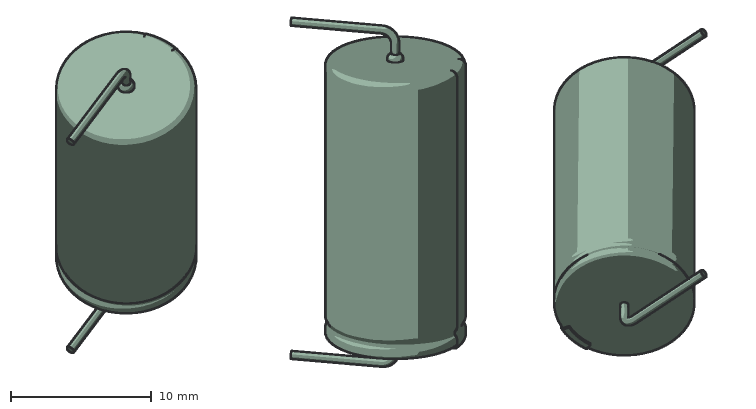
import cadquery as cq
import math

can_diameter = 10.0
can_radius = can_diameter / 2
can_height = 21.0
top_flat_diameter = 9.0
top_round = can_radius - top_flat_diameter / 2
bottom_round = 0.29

groove_middle = 1.05
groove_half_width = 0.52
groove_depth = 0.195
groove_waist = 0.23

strip_angle = 30
strip_thickness = 0.03
strip_drop = 0.15
strip_inner_radius = 4.4

total_height = 26
wire_diameter = 0.6
wire_radius = wire_diameter / 2
bend_radius = 1.0
lead_reach = 7.6

bead_radius = 0.6
bead_height = 0.47

can_top = can_height / 2
can_bottom = -can_top
lead_level = total_height / 2 - wire_radius
lead_root = can_top - wire_diameter


def can_profile(outer_radius, inner_radius, drop):
    """Half section of the can wall, drawn with radius along X and height along Y."""
    swing = 2 * math.atan(groove_depth / groove_half_width)
    floor_arc_radius = groove_waist / math.sin(swing)
    shoulder_arc_radius = (groove_half_width - groove_waist) / math.sin(swing)
    half_swing = swing / 2

    middle = can_bottom + groove_middle
    floor = outer_radius - groove_depth
    waist_radius = floor + floor_arc_radius * (1 - math.cos(swing))
    shoulder_mid_radius = outer_radius - shoulder_arc_radius * (1 - math.cos(half_swing))
    shoulder_mid_offset = groove_half_width - shoulder_arc_radius * math.sin(half_swing)

    bottom = can_bottom - drop
    corner = 1 - math.sqrt(0.5)
    return (
        cq.Workplane("XY")
        .moveTo(inner_radius, bottom)
        .lineTo(outer_radius - bottom_round, bottom)
        .threePointArc(
            (outer_radius - corner * bottom_round, bottom + corner * bottom_round),
            (outer_radius, bottom + bottom_round),
        )
        .lineTo(outer_radius, middle - groove_half_width)
        .threePointArc(
            (shoulder_mid_radius, middle - shoulder_mid_offset),
            (waist_radius, middle - groove_waist),
        )
        .threePointArc((floor, middle), (waist_radius, middle + groove_waist))
        .threePointArc(
            (shoulder_mid_radius, middle + shoulder_mid_offset),
            (outer_radius, middle + groove_half_width),
        )
        .lineTo(outer_radius, can_top - top_round)
        .threePointArc(
            (outer_radius - corner * top_round, can_top - corner * top_round),
            (outer_radius - top_round, can_top),
        )
        .lineTo(inner_radius, can_top)
        .close()
    )


def revolve_upright(profile, angle):
    """Revolve about the height axis, stand the solid up along Z and centre it on +Y."""
    solid = profile.revolve(angle, (0, 0, 0), (0, 1, 0))
    upright = solid.rotate((0, 0, 0), (1, 0, 0), 90)
    return upright.rotate((0, 0, 0), (0, 0, 1), 90 - angle / 2)


def make_strip():
    profile = can_profile(can_radius + strip_thickness, strip_inner_radius, strip_drop)
    return revolve_upright(profile, strip_angle)


def make_lead(side):
    """Wire leaving the can end (side = 1 top, -1 bottom) and bending toward -Y."""
    bend_start = lead_level - bend_radius
    bend_offset = bend_radius * (1 - math.sqrt(0.5))
    path = (
        cq.Workplane("YZ")
        .moveTo(0, side * lead_root)
        .lineTo(0, side * bend_start)
        .threePointArc((-bend_offset, side * (lead_level - bend_offset)), (-bend_radius, side * lead_level))
        .lineTo(-lead_reach, side * lead_level)
    )
    section = cq.Workplane("XY", origin=(0, 0, side * lead_root)).circle(wire_radius)
    return section.sweep(path)


def make_bead():
    """Dome that starts upright at the can top and curves in to meet the wire."""
    inset = bead_radius - wire_radius
    arc_radius = (inset**2 + bead_height**2) / (2 * inset)
    half_sweep = math.asin(bead_height / arc_radius) / 2
    middle_radius = bead_radius - arc_radius * (1 - math.cos(half_sweep))
    middle_height = arc_radius * math.sin(half_sweep)
    return (
        cq.Workplane("XZ", origin=(0, 0, can_top))
        .lineTo(bead_radius, 0)
        .threePointArc((middle_radius, middle_height), (wire_radius, bead_height))
        .lineTo(0, bead_height)
        .close()
        .revolve(360, (0, 0, 0), (0, 1, 0))
    )


can = revolve_upright(can_profile(can_radius, 0, 0), 360)
result = can.union(make_strip()).union(make_bead())
for side in (1, -1):
    result = result.union(make_lead(side))